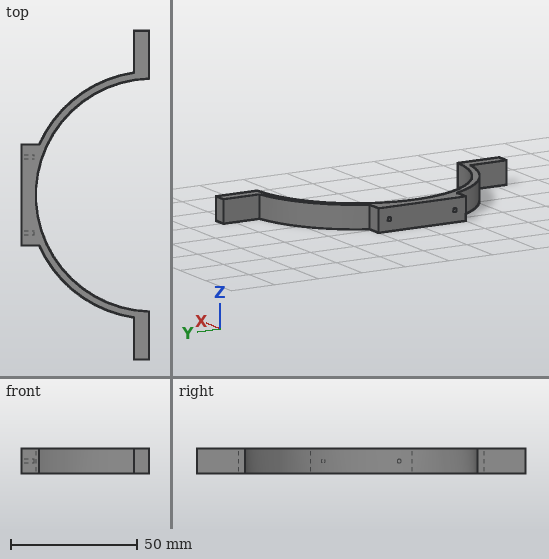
import cadquery as cq

length = 130.0
depth = 50.5
height = 10.0

inner_radius = 46.0
wall = 3.0
outer_radius = inner_radius + wall
clamping_gap = 1.3

flange_thickness = 6.0
pad_width = 40.0

hole_diameter = 1.5
hole_spacing = 30.0
hole_depth = 5.0


def block(x_min, x_max, y_min, y_max):
    """Full-height block between the given X and Y limits."""
    size = (x_max - x_min, y_max - y_min, height)
    return cq.Workplane("XY").box(*size, centered=False).translate((x_min, y_min, 0))


def ring_cylinder(radius):
    """Full-height cylinder on the ring axis."""
    return cq.Workplane("XY").center(clamping_gap, 0).circle(radius).extrude(height)


half_disc = ring_cylinder(outer_radius).intersect(block(-depth, 0, -length / 2, length / 2))
pad = block(-depth, -depth / 2, -pad_width / 2, pad_width / 2)
flanges = block(-flange_thickness, 0, -length / 2, length / 2)

body = half_disc.union(pad).union(flanges).cut(ring_cylinder(inner_radius))

holes = (
    cq.Workplane("YZ", origin=(-depth, 0, height / 2))
    .pushPoints([(-hole_spacing / 2, 0), (hole_spacing / 2, 0)])
    .circle(hole_diameter / 2)
    .extrude(hole_depth)
)

result = body.cut(holes)